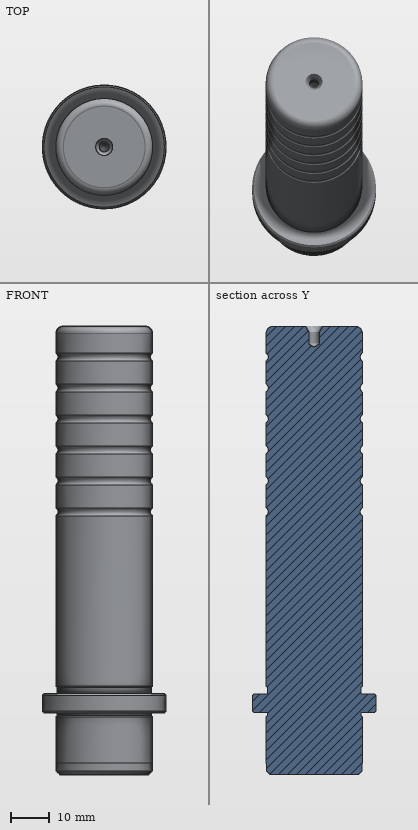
import cadquery as cq
import math

length = 116.0
shaft_radius = 12.5
top_rounding = 2.0

bottom_chamfer = 1.0
lead_height = 3.0
lead_radius = shaft_radius - 0.06

flange_radius = 16.0
flange_bottom = 16.0
flange_top = 21.0
flange_chamfer = 0.5
relief_depth = 0.3
lower_relief_width = 1.0
upper_relief_width = 2.0

groove_count = 6
groove_pitch = 8.0
first_groove_distance = groove_pitch
groove_width = 2.1
groove_depth = 0.6

centre_mouth_radius = 2.2
centre_hole_radius = 1.3
centre_hole_depth = 4.6
centre_mouth_angle = 60
drill_point_angle = 120


def revolved(profile):
    """Full turn of a radius-height profile about the pin axis."""
    return profile.revolve(360, (0, 0, 0), (0, 1, 0))


def disc(radius, bottom, top):
    """Solid disc on the pin axis between two heights."""
    return cq.Workplane("XY").workplane(offset=bottom).circle(radius).extrude(top - bottom)


def make_shaft():
    lead = disc(lead_radius, 0, lead_height).faces("<Z").chamfer(bottom_chamfer)
    shaft = disc(shaft_radius, lead_height, length).faces(">Z").edges().fillet(top_rounding)
    return lead.union(shaft)


def relief(flange_face, shaft_edge):
    """Ring beside the flange, square at the flange face and sloped at 45 degrees up to the shaft edge."""
    slope = math.copysign(relief_depth, shaft_edge - flange_face)
    return revolved(
        cq.Workplane("XZ")
        .moveTo(shaft_radius - relief_depth, flange_face)
        .lineTo(shaft_radius - relief_depth, shaft_edge - slope)
        .lineTo(shaft_radius, shaft_edge)
        .lineTo(flange_radius, shaft_edge)
        .lineTo(flange_radius, flange_face)
        .close()
    )


def make_flange():
    flange = disc(flange_radius, flange_bottom, flange_top)
    return flange.faces("<Z or >Z").chamfer(flange_chamfer)


def oil_groove(centre_height):
    """Ring with a shallow arc profile."""
    half_width = groove_width / 2
    return revolved(
        cq.Workplane("XZ")
        .moveTo(shaft_radius, centre_height - half_width)
        .threePointArc(
            (shaft_radius - groove_depth, centre_height),
            (shaft_radius, centre_height + half_width),
        )
        .lineTo(flange_radius, centre_height + half_width)
        .lineTo(flange_radius, centre_height - half_width)
        .close()
    )


def centre_hole():
    """Blind drilled hole with a countersunk mouth and a conical bottom."""
    mouth_slope = math.tan(math.radians(centre_mouth_angle / 2))
    mouth_depth = (centre_mouth_radius - centre_hole_radius) / mouth_slope
    tip_depth = centre_hole_radius / math.tan(math.radians(drill_point_angle / 2))
    return revolved(
        cq.Workplane("XZ")
        .moveTo(0, length)
        .lineTo(centre_mouth_radius, length)
        .lineTo(centre_hole_radius, length - mouth_depth)
        .lineTo(centre_hole_radius, length - centre_hole_depth)
        .lineTo(0, length - centre_hole_depth - tip_depth)
        .close()
    )


pin = make_shaft()
pin = pin.cut(relief(flange_bottom, flange_bottom - lower_relief_width))
pin = pin.cut(relief(flange_top, flange_top + upper_relief_width))
pin = pin.union(make_flange())
for index in range(groove_count):
    pin = pin.cut(oil_groove(length - first_groove_distance - index * groove_pitch))
result = pin.cut(centre_hole())